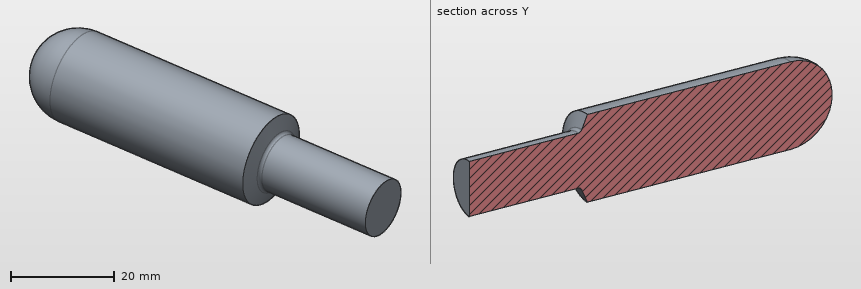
import math

import cadquery as cq

length = 82.0
body_radius = 9.5
shank_radius = 6.0
shoulder_x = 14.35
cone_slope = 67.0
fillet_radius = 0.8

nose_x = -length / 2
shank_end_x = length / 2
dome_x = nose_x + body_radius


def fillet_point(fillet_center_x, slope_degrees):
    """Point of the blend arc where its tangent has the given slope."""
    slope = math.radians(slope_degrees)
    x = fillet_center_x - fillet_radius * math.sin(slope)
    radius = shank_radius + fillet_radius * (1 - math.cos(slope))
    return x, radius


cone_end_radius = fillet_point(0, cone_slope)[1]
cone_run = (body_radius - cone_end_radius) / math.tan(math.radians(cone_slope))
fillet_end_x = shoulder_x + cone_run + fillet_radius * math.sin(math.radians(cone_slope))

dome_mid = body_radius * math.sqrt(0.5)
profile = (
    cq.Workplane("XY")
    .moveTo(nose_x, 0)
    .threePointArc((dome_x - dome_mid, dome_mid), (dome_x, body_radius))
    .lineTo(shoulder_x, body_radius)
    .lineTo(*fillet_point(fillet_end_x, cone_slope))
    .threePointArc(fillet_point(fillet_end_x, cone_slope / 2), (fillet_end_x, shank_radius))
    .lineTo(shank_end_x, shank_radius)
    .lineTo(shank_end_x, 0)
    .close()
)

result = profile.revolve(360, (0, 0, 0), (1, 0, 0))